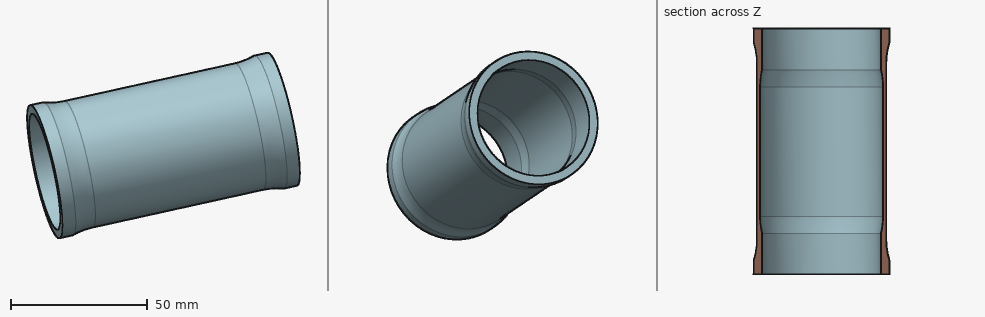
import cadquery as cq
import math

length = 90.0
collar_diameter = 49.95
body_diameter = 47.5
collar_bore_diameter = 43.5
body_bore_diameter = 45.0

collar_length = 4.95
flare_length = 7.7
narrow_bore_length = 15.0
bore_flare_length = 6.3


def tangent_arc_middle(tangent_point, far_point):
    """Middle point of an arc that leaves tangent_point parallel to the Y axis."""
    rise = far_point[0] - tangent_point[0]
    run = far_point[1] - tangent_point[1]
    arc_radius = (rise**2 + run**2) / (2 * abs(rise))
    half_angle = math.atan2(abs(rise), abs(run))
    middle_rise = math.copysign(arc_radius * (1 - math.cos(half_angle)), rise)
    middle_run = math.copysign(arc_radius * math.sin(half_angle), run)
    return (tangent_point[0] + middle_rise, tangent_point[1] + middle_run)


def flared_cylinder(end_diameter, middle_diameter, end_length, transition_length):
    """Solid of revolution whose two ends blend into its middle through arcs."""
    end_radius = end_diameter / 2
    middle_radius = middle_diameter / 2
    half_length = length / 2
    end_y = half_length - end_length
    middle_y = end_y - transition_length
    arc_x, arc_y = tangent_arc_middle((middle_radius, middle_y), (end_radius, end_y))
    return (
        cq.Workplane("XY")
        .moveTo(0, -half_length)
        .lineTo(end_radius, -half_length)
        .lineTo(end_radius, -end_y)
        .threePointArc((arc_x, -arc_y), (middle_radius, -middle_y))
        .lineTo(middle_radius, middle_y)
        .threePointArc((arc_x, arc_y), (end_radius, end_y))
        .lineTo(end_radius, half_length)
        .lineTo(0, half_length)
        .close()
        .revolve(360, (0, 0, 0), (0, 1, 0))
    )


outside = flared_cylinder(collar_diameter, body_diameter, collar_length, flare_length)
bore = flared_cylinder(
    collar_bore_diameter, body_bore_diameter, narrow_bore_length, bore_flare_length
)
result = outside.cut(bore)